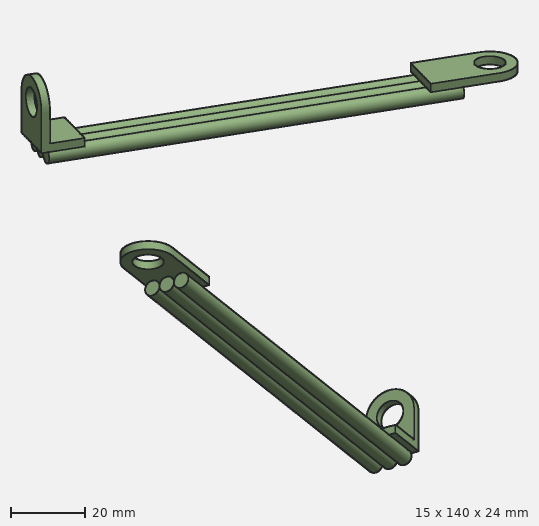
import cadquery as cq

WIDTH = 15.0
TOTAL_LENGTH = 140.0
TOTAL_HEIGHT = 24.0

THICKNESS = 2.5
FLAT_LUG_LENGTH = 27.5
FLAT_LUG_HOLE_DIAMETER = 8.5
ANGLE_HOLE_DIAMETER = 8.2
ANGLE_FOOT_LENGTH = 12.5

ROD_COUNT = 3
ROD_PITCH = 4.5
ROD_OVERLAP = 0.02
ROD_DIAMETER = ROD_PITCH + ROD_OVERLAP
ROD_LENGTH = 120.0

ANGLE_HEIGHT = TOTAL_HEIGHT - ROD_DIAMETER + ROD_OVERLAP
ROD_START = THICKNESS
ROD_AXIS_Z = ROD_OVERLAP - ROD_DIAMETER / 2
FLAT_LUG_START = TOTAL_LENGTH - FLAT_LUG_LENGTH


def lug_plate(workplane, length, hole_diameter):
    """Plate running from the workplane origin, square at the base and round at the tip."""
    radius = WIDTH / 2
    straight = length - radius
    plate = (
        workplane.moveTo(-radius, 0)
        .lineTo(radius, 0)
        .lineTo(radius, straight)
        .threePointArc((0, length), (-radius, straight))
        .close()
        .extrude(THICKNESS)
    )
    hole = workplane.center(0, straight).circle(hole_diameter / 2).extrude(THICKNESS)
    return plate.cut(hole)


def flat_lug():
    """Horizontal lug at the +Y end."""
    base = cq.Workplane("XY", origin=(0, FLAT_LUG_START, 0))
    return lug_plate(base, FLAT_LUG_LENGTH, FLAT_LUG_HOLE_DIAMETER)


def angle_lug():
    """L-shaped lug at the -Y end: an upright lug plate on a short foot."""
    base = cq.Workplane("XZ", origin=(0, THICKNESS, 0))
    upright = lug_plate(base, ANGLE_HEIGHT, ANGLE_HOLE_DIAMETER)
    foot = cq.Workplane("XY").box(WIDTH, ANGLE_FOOT_LENGTH, THICKNESS, centered=(True, False, False))
    return upright.union(foot)


def rods():
    """Row of round bars along Y, centred across the width."""
    row = cq.Workplane("XY")
    for index in range(ROD_COUNT):
        x = (index - (ROD_COUNT - 1) / 2) * ROD_PITCH
        end_plane = cq.Workplane("XZ", origin=(x, ROD_START + ROD_LENGTH, ROD_AXIS_Z))
        row = row.union(end_plane.circle(ROD_DIAMETER / 2).extrude(ROD_LENGTH))
    return row


result = rods().union(flat_lug()).union(angle_lug())